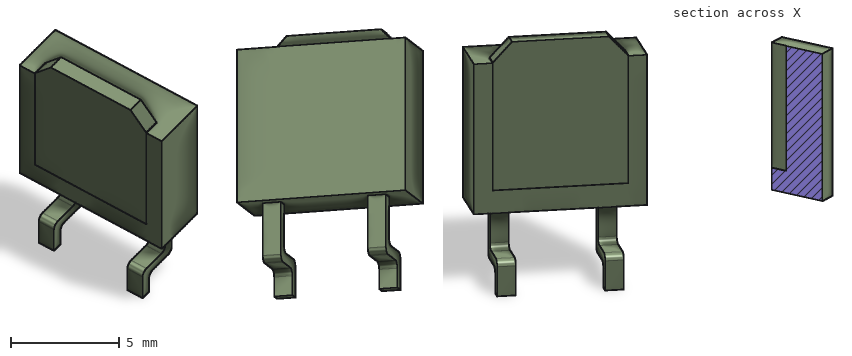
import cadquery as cq

body_width = 8.13
body_depth = 2.79
body_bottom = 4.02
body_top = 11.27

tab_width = 6.36
tab_top_width = 4.56
tab_depth = 0.81
tab_bottom = 5.13
tab_top = 12.25
tab_shoulder = body_top + 0.02
tab_gap = 0.01

lead_width = 0.88
lead_spacing = 5.07
lead_thickness = 0.51
lead_back = 2.29
lead_arm_top = 1.75
bend_radius = 0.31
selection_margin = 0.12


def make_body():
    """Plain block with an open-topped recess that leaves a gap around the tab."""
    block = cq.Workplane("XY").box(
        body_width, body_depth, body_top - body_bottom, centered=(True, False, False)
    ).translate((0, 0, body_bottom))
    recess_bottom = tab_bottom - tab_gap
    recess = cq.Workplane("XY").box(
        tab_width + 2 * tab_gap, tab_depth, body_top - recess_bottom, centered=(True, False, False)
    ).translate((0, 0, recess_bottom))
    return block.cut(recess)


def make_tab():
    """Flat plate with sloped upper corners."""
    half_width = tab_width / 2
    half_top = tab_top_width / 2
    outline = [
        (-half_width, tab_bottom),
        (half_width, tab_bottom),
        (half_width, tab_shoulder),
        (half_top, tab_top),
        (-half_top, tab_top),
        (-half_width, tab_shoulder),
    ]
    return cq.Workplane("XZ").polyline(outline).close().extrude(-tab_depth)


def make_lead(center_x):
    """Z-shaped strip: upper leg, arm running forward, lower leg."""
    upper_front = lead_back - lead_thickness
    arm_bottom = lead_arm_top - lead_thickness
    profile = [
        (lead_back, body_bottom),
        (lead_back, arm_bottom),
        (lead_thickness, arm_bottom),
        (lead_thickness, 0),
        (0, 0),
        (0, lead_arm_top),
        (upper_front, lead_arm_top),
        (upper_front, body_bottom),
    ]
    strip = cq.Workplane("YZ").polyline(profile).close().extrude(lead_width / 2, both=True)
    bends = cq.selectors.BoxSelector(
        (-lead_width, -selection_margin, arm_bottom - selection_margin),
        (lead_width, lead_back + selection_margin, lead_arm_top + selection_margin),
    )
    return strip.edges("|X").edges(bends).fillet(bend_radius).translate((center_x, 0, 0))


result = make_body().union(make_tab())
for side in (-1, 1):
    result = result.union(make_lead(side * lead_spacing / 2))